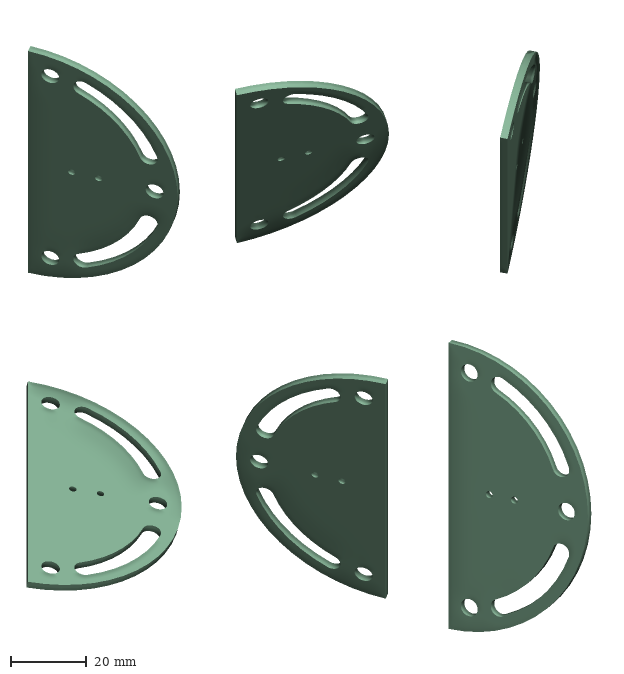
import cadquery as cq
import math

plate_radius = 41.5
thickness = 2.0

mount_hole_diameter = 5.0
side_hole_x = 35.1
corner_hole_x = 6.15
corner_hole_z = 34.0

pin_hole_diameter = 2.0
pin_hole_x_positions = (12.1, 19.6)

slot_radius = 35.6
slot_width = 5.0
slot_start_angle = 20.0
slot_end_angle = 65.0


def polar(radius, angle):
    """Point at a radius and an angle in degrees from the X axis."""
    a = math.radians(angle)
    return (radius * math.cos(a), radius * math.sin(a))


def through_holes(points, diameter):
    """Cylinders that pass through the plate along Y."""
    return cq.Workplane("XZ").pushPoints(points).circle(diameter / 2).extrude(-thickness)


def curved_slot():
    """Cutter for the upper slot: concentric arcs joined by round ends."""
    inner = slot_radius - slot_width / 2
    outer = slot_radius + slot_width / 2
    middle_angle = (slot_start_angle + slot_end_angle) / 2
    tip_angle = math.degrees(2 * math.asin(slot_width / 4 / slot_radius))
    return (
        cq.Workplane("XZ")
        .moveTo(*polar(inner, slot_start_angle))
        .threePointArc(polar(inner, middle_angle), polar(inner, slot_end_angle))
        .threePointArc(polar(slot_radius, slot_end_angle + tip_angle), polar(outer, slot_end_angle))
        .threePointArc(polar(outer, middle_angle), polar(outer, slot_start_angle))
        .threePointArc(polar(slot_radius, slot_start_angle - tip_angle), polar(inner, slot_start_angle))
        .close()
        .extrude(-thickness)
    )


plate = (
    cq.Workplane("XZ")
    .moveTo(0, -plate_radius)
    .threePointArc((plate_radius, 0), (0, plate_radius))
    .close()
    .extrude(-thickness)
)

mount_holes = [(side_hole_x, 0), (corner_hole_x, corner_hole_z), (corner_hole_x, -corner_hole_z)]
pin_holes = [(x, 0) for x in pin_hole_x_positions]
upper_slot = curved_slot()

result = (
    plate
    .cut(through_holes(mount_holes, mount_hole_diameter))
    .cut(through_holes(pin_holes, pin_hole_diameter))
    .cut(upper_slot)
    .cut(upper_slot.mirror("XY"))
)